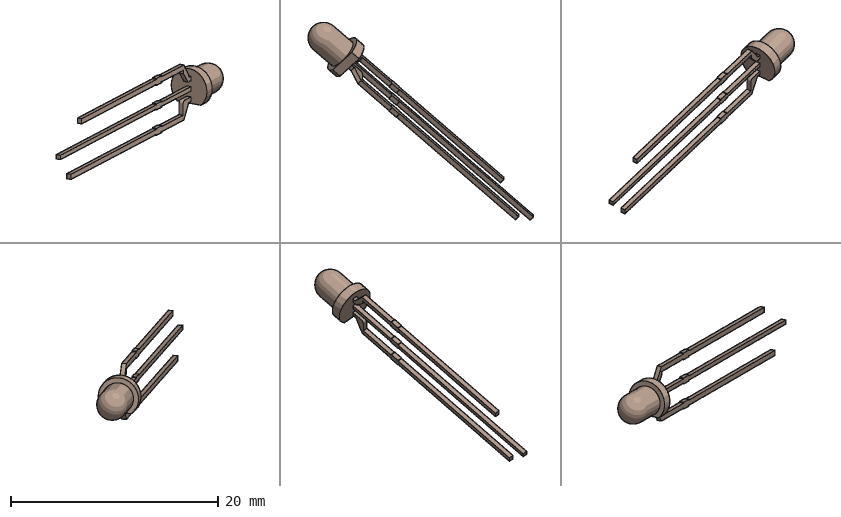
import cadquery as cq


lens_radius = 1.5
flange_radius = 2.0
flange_thickness = 1.0
flange_flat_z = -lens_radius
total_length = 29.5
lens_height = 5.02

lead_thickness = 0.47
lead_pitch = 2.55
outer_lead_width = 0.53
middle_lead_width = 0.45
middle_lead_length = total_length - lens_height
upper_lead_length = 20.5
lower_lead_length = 22.5

standoff_start = 5.5
standoff_length = 1.0
standoff_step = 0.1

root_inner = 0.83
root_outer = root_inner + middle_lead_width
outer_bend_depth = 1.33
outer_edge = lead_pitch + outer_lead_width / 2
inner_edge = lead_pitch - outer_lead_width / 2

upper_root_outer_depth = 0.3
upper_root_inner_depth = 0.55
upper_notch_depth = 1.42
upper_notch_z = 1.92

lower_root_outer_depth = 0.4
lower_shoulder_depth = 1.5
lower_shoulder_radius = 0.35


def make_body():
    """Domed lens on a round flange that is cut flat on its -Z side."""
    dome_base = lens_height - lens_radius
    dome_mid = lens_radius * 0.5 ** 0.5
    lens = (
        cq.Workplane("YZ")
        .lineTo(0, lens_radius)
        .lineTo(dome_base, lens_radius)
        .threePointArc((dome_base + dome_mid, dome_mid), (lens_height, 0))
        .close()
        .revolve(360, (0, 0, 0), (1, 0, 0))
    )
    flange = cq.Workplane("XZ").circle(flange_radius).extrude(-flange_thickness)
    kept_height = flange_radius - flange_flat_z
    above_flat = cq.Workplane("XY").workplane(offset=flange_flat_z).box(
        2 * flange_radius, 2 * flange_thickness, kept_height, centered=(True, True, False)
    )
    return lens.union(flange.intersect(above_flat))


def lead_plate(points):
    """Flat lead from (Y, Z) points, centred on X = 0."""
    return cq.Workplane("YZ").polyline(points).close().extrude(lead_thickness / 2, both=True)


def standoff(center_z, lead_width):
    """Short length of lead that is wider along Z."""
    center_y = -(standoff_start + standoff_length / 2)
    width = lead_width + 2 * standoff_step
    return cq.Workplane("XY").box(lead_thickness, standoff_length, width).translate((0, center_y, center_z))


def make_middle_lead():
    half_width = middle_lead_width / 2
    lead = lead_plate([
        (0, half_width),
        (-middle_lead_length, half_width),
        (-middle_lead_length, -half_width),
        (0, -half_width),
    ])
    return lead.union(standoff(0, middle_lead_width))


def make_upper_lead():
    """Lead that slants out to +Z, with a small notch inside the bend."""
    lead = lead_plate([
        (0, root_outer),
        (-upper_root_outer_depth, root_outer),
        (-outer_bend_depth, outer_edge),
        (-upper_lead_length, outer_edge),
        (-upper_lead_length, inner_edge),
        (-upper_notch_depth, inner_edge),
        (-upper_notch_depth, upper_notch_z),
        (-upper_root_inner_depth, root_inner),
        (0, root_inner),
    ])
    return lead.union(standoff(lead_pitch, outer_lead_width))


def make_lower_lead():
    """Lead that steps out to -Z through a wide web with a rounded shoulder."""
    lead = lead_plate([
        (0, -root_inner),
        (-lower_shoulder_depth, -root_inner),
        (-lower_shoulder_depth, -inner_edge),
        (-lower_lead_length, -inner_edge),
        (-lower_lead_length, -outer_edge),
        (-outer_bend_depth, -outer_edge),
        (-lower_root_outer_depth, -root_outer),
        (0, -root_outer),
    ])
    shoulder_edge = cq.NearestToPointSelector((0, -lower_shoulder_depth, -root_inner))
    lead = lead.edges("|X").edges(shoulder_edge).fillet(lower_shoulder_radius)
    return lead.union(standoff(-lead_pitch, outer_lead_width))


result = make_body()
for lead in (make_middle_lead(), make_upper_lead(), make_lower_lead()):
    result = result.union(lead)